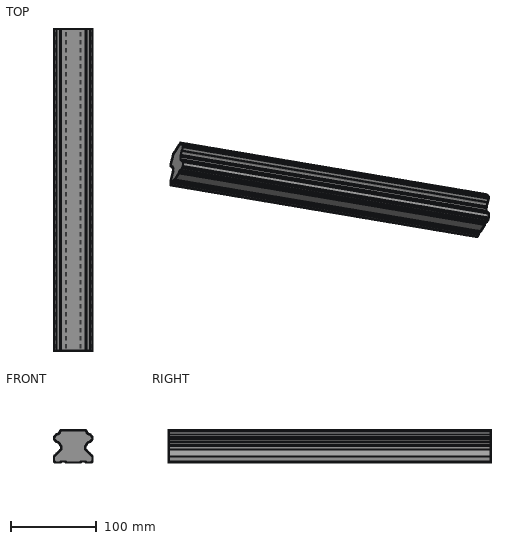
import cadquery as cq
import math

length = 375.0
width = 45.0
height = 38.0
half_width = width / 2

nose_level = 28.5
nose_flat = 2.2
nose_root_x = 19.5
nose_root_rise = 4.5
groove_radius = 4.0
groove_end_rise = 8.0
top_half_width = 14.2

foot_shoulder = 7.0
foot_rise = 8.2
foot_chamfer = 1.5

relief_center_x = 11.5
relief_floor_width = 5.0
relief_depth = 1.0

groove_center_rise = nose_root_rise + groove_radius
groove_end_drop = groove_center_rise - groove_end_rise
groove_end_x = nose_root_x - math.sqrt(groove_radius**2 - groove_end_drop**2)
groove_end_angle = math.acos(groove_end_drop / groove_radius)
groove_mid_x = nose_root_x - groove_radius * math.sin(groove_end_angle / 2)
groove_mid_rise = groove_center_rise - groove_radius * math.cos(groove_end_angle / 2)

head_rise = height - nose_level


def half_section():
    """Right half of the cross-section, from the centre line outward."""
    return (
        cq.Workplane("XZ", origin=(0, length / 2, 0))
        .moveTo(0, height)
        .lineTo(top_half_width, height)
        .lineTo(groove_end_x, nose_level + groove_end_rise)
        .threePointArc(
            (groove_mid_x, nose_level + groove_mid_rise),
            (nose_root_x, nose_level + nose_root_rise),
        )
        .lineTo(half_width, nose_level + nose_flat / 2)
        .lineTo(half_width, nose_level - nose_flat / 2)
        .lineTo(nose_root_x, nose_level - nose_root_rise)
        .threePointArc(
            (groove_mid_x, nose_level - groove_mid_rise),
            (groove_end_x, nose_level - groove_end_rise),
        )
        .lineTo(top_half_width, nose_level - head_rise)
        .lineTo(top_half_width, foot_shoulder + foot_rise)
        .lineTo(half_width, foot_shoulder)
        .lineTo(half_width, foot_chamfer)
        .lineTo(half_width - foot_chamfer, 0)
        .lineTo(0, 0)
        .close()
    )


def relief_groove(side):
    """Shallow groove under the foot, on the given side (-1 or 1)."""
    floor_half = relief_floor_width / 2
    mouth_half = floor_half + relief_depth
    return (
        cq.Workplane("XZ", origin=(side * relief_center_x, length / 2, 0))
        .polyline([
            (-mouth_half, 0),
            (-floor_half, relief_depth),
            (floor_half, relief_depth),
            (mouth_half, 0),
        ])
        .close()
        .extrude(length)
    )


half_rail = half_section().extrude(length)
result = half_rail.union(half_rail.mirror("YZ")).clean()
for side in (-1, 1):
    result = result.cut(relief_groove(side))